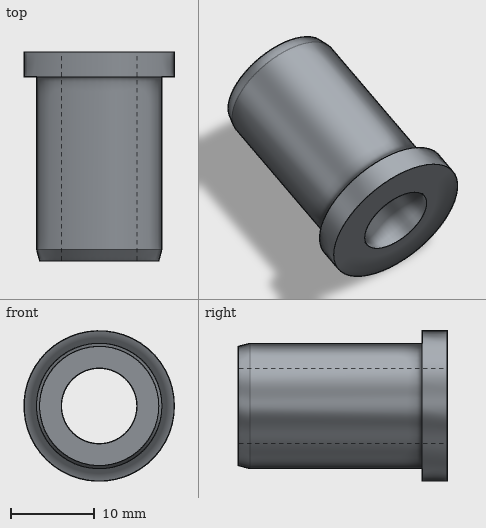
import cadquery as cq

total_length = 25.0
flange_diameter = 18.0
flange_thickness = 3.0
body_diameter = 15.0
bore_diameter = 9.0
lead_in_length = 1.4
lead_in_depth = 0.38

flange_radius = flange_diameter / 2
body_radius = body_diameter / 2
bore_radius = bore_diameter / 2
tip_radius = body_radius - lead_in_depth
flange_start = total_length - flange_thickness

half_section = [
    (bore_radius, 0),
    (tip_radius, 0),
    (body_radius, lead_in_length),
    (body_radius, flange_start),
    (flange_radius, flange_start),
    (flange_radius, total_length),
    (bore_radius, total_length),
]
result = (
    cq.Workplane("XY")
    .polyline(half_section)
    .close()
    .revolve(360, (0, 0, 0), (0, 1, 0))
)